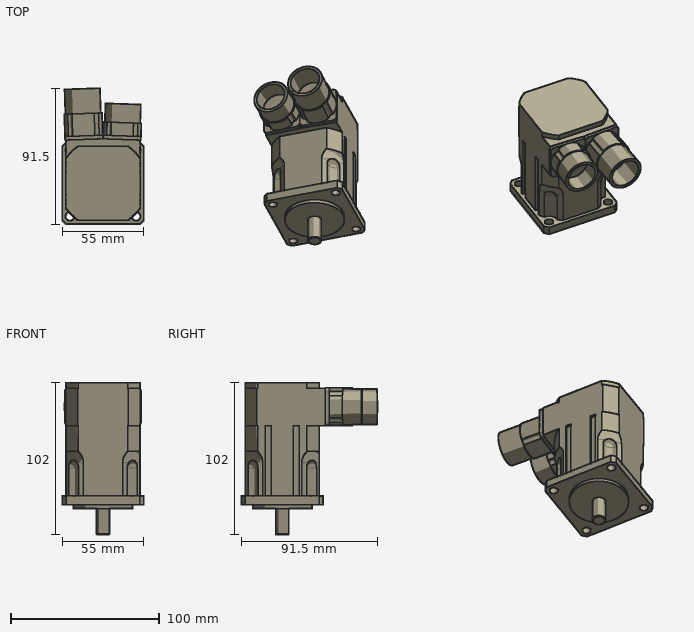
import cadquery as cq
import math


FLANGE_SIDE = 55.0
FLANGE_HEIGHT = 6.0
FLANGE_CORNER_DIAMETER = 74.1
BOLT_OFFSET = 22.2
BOLT_HOLE_DIAMETER = 5.7
PILOT_DIAMETER = 40.0
PILOT_HEIGHT = 2.5
SHAFT_DIAMETER = 9.0
SHAFT_LENGTH = 20.0
SHAFT_CHAMFER = 0.5

BODY_SIDE = 50.0
BODY_TOP = 82.0
UPPER_RADIUS = 30.0
LOWER_RADIUS = 28.3
NECK_BOTTOM = 28.7
NECK_TOP = 35.8

POCKET_RADIUS = 5.9
POCKET_STRAIGHT_TOP = 24.9

GROOVE_WIDTH = 4.0
GROOVE_OFFSET = 9.5
GROOVE_DEPTH = 1.5

BLOCK_BOTTOM = 52.9
BLOCK_TOP = 78.3
BLOCK_CHAMFER = 8.0
REAR_RIDGE_Y = 29.9
REAR_TILT = 2.0

CONNECTOR_OFFSET = 12.8
CONNECTOR_Z = 65.9
PLATE_SIDE = 25.5
PLATE_CORNER_RADIUS = 2.5
PLATE_THICKNESS = 2.4
COLLAR_DIAMETER = 25.5
FLUTE_RADIUS = 2.8
BARREL_DIAMETER = 24.0
SOCKET_DIAMETER = 20.0
LONG_COLLAR_LENGTH = 15.0
LONG_BARREL_LENGTH = 16.7
SHORT_COLLAR_LENGTH = 8.9
SHORT_BARREL_LENGTH = 12.6

HALF_BODY = BODY_SIDE / 2
REAR_SLOPE = math.tan(math.radians(REAR_TILT))
CORNERS = [(sx * BOLT_OFFSET, sy * BOLT_OFFSET) for sx in (-1, 1) for sy in (-1, 1)]


def make_flange():
    """Square flange with corners turned to a large diameter, and four bolt holes."""
    plate = cq.Workplane("XY").rect(FLANGE_SIDE, FLANGE_SIDE).extrude(FLANGE_HEIGHT)
    disc = cq.Workplane("XY").circle(FLANGE_CORNER_DIAMETER / 2).extrude(FLANGE_HEIGHT)
    holes = cq.Workplane("XY").pushPoints(CORNERS).circle(BOLT_HOLE_DIAMETER / 2).extrude(FLANGE_HEIGHT)
    return plate.intersect(disc).cut(holes)


def make_pilot_and_shaft():
    """Centring pilot and chamfered shaft below the flange."""
    pilot = cq.Workplane("XY").circle(PILOT_DIAMETER / 2).extrude(-PILOT_HEIGHT)
    shaft = cq.Workplane("XY").circle(SHAFT_DIAMETER / 2).extrude(-SHAFT_LENGTH)
    return pilot.union(shaft.faces("<Z").chamfer(SHAFT_CHAMFER))


def make_body():
    """Square column whose corners follow a turned envelope that narrows near the flange."""
    height = BODY_TOP - FLANGE_HEIGHT
    column = cq.Workplane("XY").workplane(offset=FLANGE_HEIGHT).rect(BODY_SIDE, BODY_SIDE).extrude(height)
    neck_rise = NECK_TOP - NECK_BOTTOM
    neck_step = UPPER_RADIUS - LOWER_RADIUS
    neck_radius = (neck_rise**2 + neck_step**2) / (2 * neck_step)
    envelope = (
        cq.Workplane("XZ")
        .moveTo(0, FLANGE_HEIGHT)
        .lineTo(LOWER_RADIUS, FLANGE_HEIGHT)
        .lineTo(LOWER_RADIUS, NECK_BOTTOM)
        .radiusArc((UPPER_RADIUS, NECK_TOP), neck_radius)
        .lineTo(UPPER_RADIUS, BODY_TOP)
        .lineTo(0, BODY_TOP)
        .close()
        .revolve(360, (0, 0, 0), (0, 1, 0))
    )
    return column.intersect(envelope)


def make_screw_pockets():
    """Round-topped channels that give access to the flange screws."""
    straight_height = POCKET_STRAIGHT_TOP - FLANGE_HEIGHT
    base = cq.Workplane("XY").workplane(offset=FLANGE_HEIGHT).pushPoints(CORNERS)
    channels = base.circle(POCKET_RADIUS).extrude(straight_height)
    domes = cq.Workplane("XY").workplane(offset=POCKET_STRAIGHT_TOP).pushPoints(CORNERS).sphere(POCKET_RADIUS)
    return channels.union(domes)


def make_side_grooves():
    """Two shallow vertical grooves on each X side, from the flange to the connector block."""
    places = [(sx * HALF_BODY, sy * GROOVE_OFFSET) for sx in (-1, 1) for sy in (-1, 1)]
    base = cq.Workplane("XY").workplane(offset=FLANGE_HEIGHT).pushPoints(places)
    return base.rect(2 * GROOVE_DEPTH, GROOVE_WIDTH).extrude(BLOCK_BOTTOM - FLANGE_HEIGHT)


def make_connector_block():
    """Block with chamfered front corners and two rear faces that meet in a shallow ridge."""
    chamfer_end = HALF_BODY - BLOCK_CHAMFER
    rear_edge_y = REAR_RIDGE_Y - HALF_BODY * REAR_SLOPE
    outline = [
        (-chamfer_end, -HALF_BODY),
        (chamfer_end, -HALF_BODY),
        (HALF_BODY, -chamfer_end),
        (HALF_BODY, rear_edge_y),
        (0, REAR_RIDGE_Y),
        (-HALF_BODY, rear_edge_y),
        (-HALF_BODY, -chamfer_end),
    ]
    base = cq.Workplane("XY").workplane(offset=BLOCK_BOTTOM)
    return base.polyline(outline).close().extrude(BLOCK_TOP - BLOCK_BOTTOM)


def make_block_clearance():
    """Slab that removes the turned column where the block takes its place."""
    base = cq.Workplane("XY").workplane(offset=BLOCK_BOTTOM)
    return base.rect(FLANGE_SIDE, FLANGE_SIDE).extrude(BLOCK_TOP - BLOCK_BOTTOM)


def make_motor():
    body = make_body().cut(make_screw_pockets()).cut(make_side_grooves())
    body = body.cut(make_block_clearance()).union(make_connector_block())
    return body.union(make_flange()).union(make_pilot_and_shaft())


def make_connector(side, collar_length, barrel_length):
    """Connector on the rear face at side -1 (-X) or +1 (+X), leaning outward with that face."""
    corner_offset = PLATE_SIDE / 2 - PLATE_CORNER_RADIUS
    corners = [(sx * corner_offset, sz * corner_offset) for sx in (-1, 1) for sz in (-1, 1)]
    collar_end = PLATE_THICKNESS + collar_length

    plate = cq.Workplane("XZ").rect(PLATE_SIDE, PLATE_SIDE).extrude(-PLATE_THICKNESS)
    plate = plate.edges("|Y").fillet(PLATE_CORNER_RADIUS)
    collar_base = cq.Workplane("XZ", origin=(0, PLATE_THICKNESS, 0))
    collar = collar_base.circle(COLLAR_DIAMETER / 2).extrude(-collar_length)
    flutes = collar_base.pushPoints(corners).circle(FLUTE_RADIUS).extrude(-collar_length)
    barrel_base = cq.Workplane("XZ", origin=(0, collar_end, 0))
    barrel = barrel_base.circle(BARREL_DIAMETER / 2).circle(SOCKET_DIAMETER / 2).extrude(-barrel_length)
    connector = plate.union(collar.cut(flutes)).union(barrel)

    rear_y = REAR_RIDGE_Y - CONNECTOR_OFFSET * REAR_SLOPE
    connector = connector.rotate((0, 0, 0), (0, 0, 1), -side * REAR_TILT)
    return connector.translate((side * CONNECTOR_OFFSET, rear_y, CONNECTOR_Z))


motor = make_motor()
connectors = [
    make_connector(side, collar_length, barrel_length)
    for side, collar_length, barrel_length in (
        (-1, LONG_COLLAR_LENGTH, LONG_BARREL_LENGTH),
        (1, SHORT_COLLAR_LENGTH, SHORT_BARREL_LENGTH),
    )
]

result = cq.Compound.makeCompound([motor.val(), *[connector.val() for connector in connectors]])